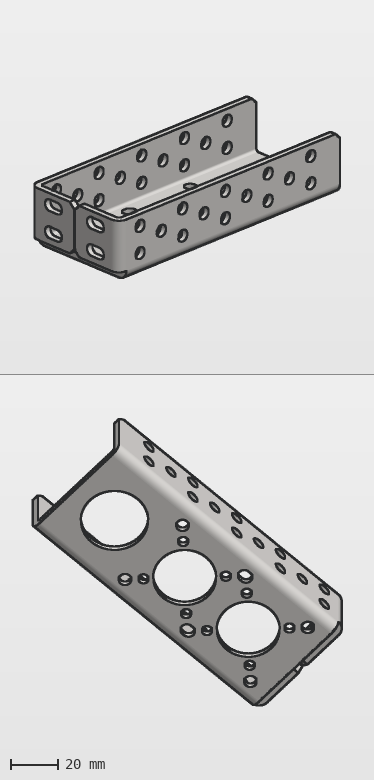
import cadquery as cq

width = 53.9
length = 131.7
height = 28.6

sheet = 3.2
inner_bend = 1.3
outer_bend = inner_bend + sheet
corner_cut = 2.6
flap_gap = 0.4

grid_pitch = 25.4
half_pitch = grid_pitch / 2
grid_hole = 5.4
grid_columns = 5
first_column_y = 12.6
lower_row_z = 10.3
middle_row_z = lower_row_z + half_pitch / 2
upper_row_z = lower_row_z + half_pitch
slot_length = 10.1

round_opening = 28.6
round_opening_y = 109.3
motor_opening = 26.7
motor_positions_y = (31.7, 68.6)
inner_screw_hole = 4.3
inner_screw_spacing = 24.8
outer_screw_hole = 5.4
outer_screw_spacing = 35.8


def make_channel():
    """U-shaped channel along Y: floor, two bends and two side walls, all behind the front bend."""
    block = cq.Workplane("XY").box(width, length - outer_bend, height, centered=(True, False, False))
    block = block.edges("|Y and <Z").fillet(outer_bend)
    inside = (
        cq.Workplane("XY")
        .box(width - 2 * sheet, length - outer_bend, height, centered=(True, False, False))
        .edges("|Y and <Z").fillet(inner_bend)
        .translate((0, 0, sheet))
    )
    channel = block.cut(inside).translate((0, outer_bend, 0))
    return channel.edges("|X and >Y and >Z").chamfer(corner_cut)


def make_flap():
    """Right-hand front flap with the bend that joins it to the right side wall."""
    half_width = width / 2
    flap_edge = flap_gap / 2
    profile = (
        cq.Workplane("XY")
        .moveTo(flap_edge, 0)
        .lineTo(half_width - outer_bend, 0)
        .radiusArc((half_width, outer_bend), -outer_bend)
        .lineTo(half_width - sheet, outer_bend)
        .radiusArc((half_width - outer_bend, sheet), inner_bend)
        .lineTo(flap_edge, sheet)
        .close()
    )
    flap = profile.extrude(height - outer_bend).translate((0, 0, outer_bend))
    return flap.edges("|Y and <X").chamfer(corner_cut)


def floor_holes(points, diameter):
    """Vertical cutters through the floor."""
    return cq.Workplane("XY").pushPoints(points).circle(diameter / 2).extrude(height)


def make_motor_cutters(center_y):
    """Round opening with two square patterns of screw holes around it."""
    cutters = floor_holes([(0, center_y)], motor_opening)
    for spacing, diameter in (
        (inner_screw_spacing, inner_screw_hole),
        (outer_screw_spacing, outer_screw_hole),
    ):
        corners = [(x * spacing / 2, center_y + y * spacing / 2) for x in (-1, 1) for y in (-1, 1)]
        cutters = cutters.union(floor_holes(corners, diameter))
    return cutters


def make_wall_cutters():
    """Three staggered rows of holes through both side walls."""
    points = []
    for column in range(grid_columns):
        y = first_column_y + column * grid_pitch
        points += [(y, lower_row_z), (y, upper_row_z)]
    for column in range(grid_columns - 1):
        y = first_column_y + half_pitch + column * grid_pitch
        points.append((y, middle_row_z))
    return cq.Workplane("YZ").pushPoints(points).circle(grid_hole / 2).extrude(width / 2, both=True)


def make_flap_cutters():
    """Two horizontal slots through each front flap."""
    points = [(x, z) for x in (-half_pitch, half_pitch) for z in (lower_row_z, upper_row_z)]
    return cq.Workplane("XZ").pushPoints(points).slot2D(slot_length, grid_hole).extrude(-outer_bend)


flap = make_flap()
result = make_channel().union(flap).union(flap.mirror("YZ"))
result = result.cut(floor_holes([(0, round_opening_y)], round_opening))
for motor_y in motor_positions_y:
    result = result.cut(make_motor_cutters(motor_y))
result = result.cut(make_wall_cutters())
result = result.cut(make_flap_cutters())